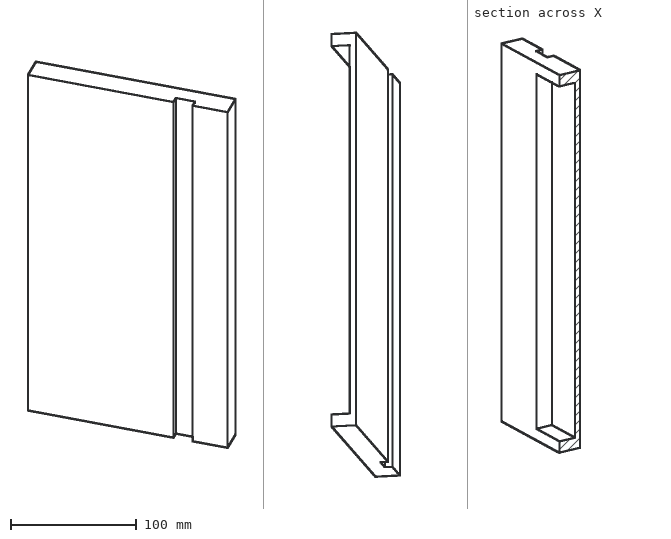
import cadquery as cq

width = 167.7
thickness = 20.0
height = 322.5

groove_start = 122.2
groove_width = 16.0
groove_depth = 6.0

frame_height = 10.0
front_wall = 5.0
recess_length = groove_start - front_wall


def box_at(x, y, z, length, depth, tall):
    """Box whose lowest corner is at (x, y, z)."""
    return cq.Workplane("XY").box(length, depth, tall, centered=False).translate((x, y, z))


panel = box_at(0, 0, 0, width, thickness, height)
groove = box_at(groove_start, 0, 0, groove_width, groove_depth, height)
recess = box_at(
    0, front_wall, frame_height,
    recess_length, thickness - front_wall, height - 2 * frame_height,
)

result = panel.cut(groove).cut(recess)